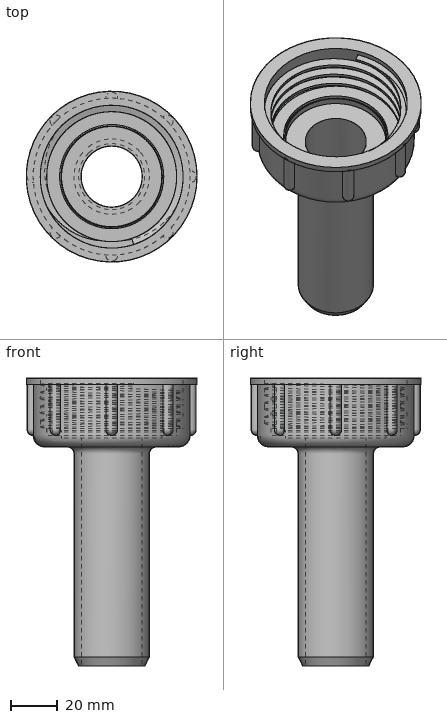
import cadquery as cq
TOTAL_HEIGHT = 123.0
FLANGE_DIAMETER = 73.0
FLANGE_THICKNESS = 2.8

CUP_RADIUS = 33.5
CUP_HEIGHT = 29.4
CUP_EDGE_RADIUS = 5.0
CUP_BORE_RADIUS = 61.0 / 2
SEAT_DEPTH = 21.5

TAIL_RADIUS = 16.1
TAIL_BORE_RADIUS = 13.0
TAIL_CHAMFER_LENGTH = 4.0
TAIL_CHAMFER_DEPTH = 2.0
NECK_RADIUS = 3.0

RIB_COUNT = 8
RIB_RADIUS = 2.5
RIB_STRAIGHT_DEPTH = 22.0
RIB_CIRCLE_RADIUS = 33.6

RING_OUTER_RADIUS = 55.5 / 2
RING_INNER_RADIUS = 44.5 / 2
RING_THICKNESS = 3.0

LIP_DROP = 0.9
LIP_CHAMFER = 0.6
POCKET_RADIUS = 21.4
POCKET_DEPTH = 25.5

THREAD_PITCH = 6.0
THREAD_CREST_RADIUS = RING_OUTER_RADIUS
THREAD_CREST_WIDTH = 1.4
THREAD_FLANK_HEIGHT = 0.95
THREAD_EMBED = 0.4
THREAD_TOP_DEPTH = 2.4
THREAD_START_DEPTH = 24.75
THREAD_TURNS = 3.8

TOP = TOTAL_HEIGHT
FLANGE_BOTTOM = TOP - FLANGE_THICKNESS
CUP_BOTTOM = TOP - CUP_HEIGHT
SEAT_LEVEL = TOP - SEAT_DEPTH
RING_BOTTOM = SEAT_LEVEL - RING_THICKNESS
LIP_TOP = SEAT_LEVEL - LIP_DROP
POCKET_FLOOR = TOP - POCKET_DEPTH


def make_shell():
    """Cup and tail as one turned profile, without ribs and thread."""
    return (
        cq.Workplane("XZ")
        .moveTo(TAIL_BORE_RADIUS, 0)
        .lineTo(TAIL_RADIUS - TAIL_CHAMFER_DEPTH, 0)
        .lineTo(TAIL_RADIUS, TAIL_CHAMFER_LENGTH)
        .lineTo(TAIL_RADIUS, CUP_BOTTOM - NECK_RADIUS)
        .radiusArc((TAIL_RADIUS + NECK_RADIUS, CUP_BOTTOM), NECK_RADIUS)
        .lineTo(CUP_RADIUS - CUP_EDGE_RADIUS, CUP_BOTTOM)
        .radiusArc((CUP_RADIUS, CUP_BOTTOM + CUP_EDGE_RADIUS), -CUP_EDGE_RADIUS)
        .lineTo(CUP_RADIUS, FLANGE_BOTTOM)
        .lineTo(FLANGE_DIAMETER / 2, FLANGE_BOTTOM)
        .lineTo(FLANGE_DIAMETER / 2, TOP)
        .lineTo(CUP_BORE_RADIUS, TOP)
        .lineTo(CUP_BORE_RADIUS, SEAT_LEVEL)
        .lineTo(RING_OUTER_RADIUS, SEAT_LEVEL)
        .lineTo(RING_OUTER_RADIUS, RING_BOTTOM)
        .lineTo(RING_INNER_RADIUS, RING_BOTTOM)
        .lineTo(RING_INNER_RADIUS, LIP_TOP - LIP_CHAMFER)
        .lineTo(RING_INNER_RADIUS - LIP_CHAMFER, LIP_TOP)
        .lineTo(POCKET_RADIUS, LIP_TOP)
        .lineTo(POCKET_RADIUS, POCKET_FLOOR)
        .lineTo(TAIL_BORE_RADIUS, POCKET_FLOOR)
        .close()
        .revolve(360, (0, 0), (0, 1))
    )


def make_rib(angle):
    """Half-round grip rib with a domed lower end, hanging below the flange."""
    dome_level = TOP - RIB_STRAIGHT_DEPTH
    rib = (
        cq.Workplane("XY", origin=(RIB_CIRCLE_RADIUS, 0, dome_level))
        .circle(RIB_RADIUS)
        .extrude(FLANGE_BOTTOM - dome_level)
    )
    dome = cq.Workplane("XY", origin=(RIB_CIRCLE_RADIUS, 0, dome_level)).sphere(RIB_RADIUS)
    cup_wall = (
        cq.Workplane("XY", origin=(0, 0, CUP_BOTTOM))
        .circle(FLANGE_DIAMETER / 2)
        .circle((CUP_RADIUS + CUP_BORE_RADIUS) / 2)
        .extrude(CUP_HEIGHT)
    )
    return rib.union(dome).intersect(cup_wall).rotate((0, 0, 0), (0, 0, 1), angle)


def make_thread():
    """Right-hand trapezoidal ridge, cut flat at the seat and near the mouth, trimmed to the bore."""
    start_level = TOP - THREAD_START_DEPTH
    depth = CUP_BORE_RADIUS - THREAD_CREST_RADIUS
    base_radius = CUP_BORE_RADIUS + THREAD_EMBED
    base_rise = THREAD_FLANK_HEIGHT * (depth + THREAD_EMBED) / depth
    helix = cq.Wire.makeHelix(
        THREAD_PITCH, THREAD_PITCH * THREAD_TURNS, THREAD_CREST_RADIUS, cq.Vector(0, 0, start_level)
    )
    ridge = (
        cq.Workplane("XZ")
        .moveTo(THREAD_CREST_RADIUS, start_level)
        .lineTo(base_radius, start_level + base_rise)
        .lineTo(base_radius, start_level - THREAD_CREST_WIDTH - base_rise)
        .lineTo(THREAD_CREST_RADIUS, start_level - THREAD_CREST_WIDTH)
        .close()
        .sweep(cq.Workplane(obj=helix), isFrenet=True)
    )
    above_thread = (
        cq.Workplane("XY", origin=(0, 0, TOP - THREAD_TOP_DEPTH))
        .circle(CUP_RADIUS)
        .extrude(CUP_HEIGHT)
    )
    bore = (
        cq.Workplane("XY", origin=(0, 0, SEAT_LEVEL))
        .circle(CUP_BORE_RADIUS)
        .extrude(CUP_HEIGHT)
    )
    return ridge.cut(above_thread).intersect(bore)


def make_coupling():
    """Cup and tail with grip ribs and internal thread."""
    coupling = make_shell().union(make_thread())
    for index in range(RIB_COUNT):
        coupling = coupling.union(make_rib(index * 360 / RIB_COUNT))
    return coupling


def make_sealing_ring():
    """Flat ring, flush with the seat around it."""
    return (
        cq.Workplane("XY", origin=(0, 0, RING_BOTTOM))
        .circle(RING_OUTER_RADIUS)
        .circle(RING_INNER_RADIUS)
        .extrude(RING_THICKNESS)
    )


coupling = make_coupling()
sealing_ring = make_sealing_ring()

result = cq.Compound.makeCompound([coupling.val(), sealing_ring.val()])